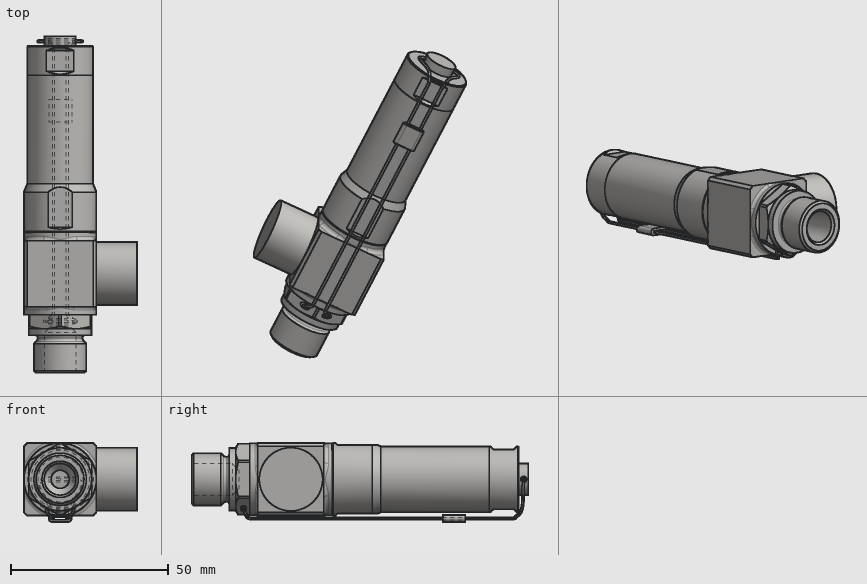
import cadquery as cq
import math


FULL_TURN = 360
VALVE_AXIS = ((0, 0, 0), (0, 1, 0))

block_width = 23.0
block_corner_chamfer = 1.1
block_square_length = 20.9
block_bottom = -13.1
block_top = 13.0
collar_setback = 0.05
collar_radius = block_width / 2 - collar_setback
bottom_collar_fillet = 1.0
top_collar_fillet = 1.4
outlet_radius = 10.0
outlet_end_x = 24.4

inlet_end = -31.5
thread_radius = 8.3
thread_tip_radius = 7.6
thread_tip_length = 0.6
hex_across_flats = 20.0
flange_radius = hex_across_flats / 2
flange_bottom = -19.6
hex_bottom = -17.5
hex_corner_radius = 11.3
hex_chamfer_angle = 30
relief_radius = 7.1
relief_flange_fillet = 0.5
relief_flat_length = 0.3
relief_thread_fillet = 1.3
bore_radius = 5.0
bore_chamfer = 0.7
bore_depth = 12.8
bore_floor_radius = 2.9

bonnet_radius = 11.5
spigot_radius = 9.3
spigot_length = 0.3
bonnet_bottom = block_top + spigot_length
cone_start = 25.8
tube_start = 28.5
tube_radius = 10.5
tube_end = 62.8
bonnet_flat_height = 10.9
bonnet_flat_start = 14.7

cap_end = 72.2
cap_chamfer = 0.3
cap_flat_height = 9.5
cap_flat_start = 64.1
cap_flat_end = 70.6

screw_end = 75.2
screw_radius = 5.0

wire_radius = 0.37
wire_hole_radius = 0.9
wire_spacing = 4.4
screw_hole_y = (cap_end + screw_end) / 2
hex_hole_y = -15.0
hex_hole_z = -9.3
sleeve_start = 48.1
sleeve_length = 7.1
sleeve_width = 7.3
sleeve_thickness = 2.2
sleeve_bottom = -13.5
wire_level = sleeve_bottom + sleeve_thickness / 2

wire_past_cap = [
    (6.7, 73.6, -1.1),
    (5.1, 73.5, -5.3),
    (3.2, 73.1, -9.6),
    (2.8, 72.3, -11.0),
    (2.3, 71.2, -12.0),
]
wire_run_start = 69.1
wire_run_end = -12.3
wire_to_hex = [
    (3.4, -14.1, -11.5),
    (4.3, hex_hole_y, -9.6),
]


def cylinder(radius, start, end):
    """Cylinder on the valve axis between two Y stations."""
    return cq.Workplane("XZ", origin=(0, start, 0)).circle(radius).extrude(start - end)


def cross_hole(y, z):
    """Cutter for a wire hole parallel to X through the whole width."""
    hole = cq.Workplane("YZ", origin=(-block_width / 2, 0, 0)).center(y, z)
    return hole.circle(wire_hole_radius).extrude(block_width)


def flat_cutters(flat_height, outer_radius, start, end):
    """Cutters for two wrench flats, at +Z and -Z, whose ends rise outward at 45 degrees."""
    rise = 2 * (outer_radius - flat_height)
    upper = (
        cq.Workplane("YZ", origin=(-outer_radius, 0, 0))
        .moveTo(start, flat_height)
        .lineTo(end, flat_height)
        .lineTo(end + rise, flat_height + rise)
        .lineTo(start - rise, flat_height + rise)
        .close()
        .extrude(2 * outer_radius)
    )
    return upper.union(upper.mirror("XY"))


def make_block():
    """Square block with a filleted round collar at each end and a cylindrical side outlet."""
    half_length = block_square_length / 2
    square = cq.Workplane("XY").box(block_width, block_square_length, block_width)
    square = square.edges("|Y").chamfer(block_corner_chamfer)

    block = square.union(cylinder(collar_radius, half_length, block_top))
    block = block.union(cylinder(collar_radius, -half_length, block_bottom))
    block = block.edges("%CIRCLE").edges(">>Y[-2]").fillet(top_collar_fillet)
    block = block.edges("%CIRCLE").edges("<<Y[-2]").fillet(bottom_collar_fillet)
    outlet = cq.Workplane("YZ").circle(outlet_radius).extrude(outlet_end_x)
    return block.union(outlet)


def make_inlet():
    """Threaded inlet with a hexagon, a flange, a thread relief and a blind bore."""
    relief_start = flange_bottom - relief_flange_fillet
    relief_end = relief_start - relief_flat_length
    runout_angle = math.radians(45)
    runout_radius = relief_radius + relief_thread_fillet * (1 - math.cos(runout_angle))
    runout_end = relief_end - relief_thread_fillet * math.sin(runout_angle)
    thread_start = runout_end - (thread_radius - runout_radius)
    stem = (
        cq.Workplane("XY")
        .moveTo(0, hex_bottom)
        .lineTo(flange_radius, hex_bottom)
        .lineTo(flange_radius, flange_bottom)
        .lineTo(relief_radius + relief_flange_fillet, flange_bottom)
        .tangentArcPoint((relief_radius, relief_start), relative=False)
        .lineTo(relief_radius, relief_end)
        .tangentArcPoint((runout_radius, runout_end), relative=False)
        .lineTo(thread_radius, thread_start)
        .lineTo(thread_radius, inlet_end + thread_tip_length)
        .lineTo(thread_tip_radius, inlet_end)
        .lineTo(0, inlet_end)
        .close()
        .revolve(FULL_TURN, *VALVE_AXIS)
    )

    hexagon = (
        cq.Workplane("XZ", origin=(0, block_bottom, 0))
        .transformed(rotate=(0, 0, 90))
        .polygon(6, hex_across_flats / math.cos(math.pi / 6))
        .extrude(block_bottom - hex_bottom)
    )
    chamfer_length = (hex_corner_radius - flange_radius) * math.tan(math.radians(hex_chamfer_angle))
    turned = (
        cq.Workplane("XY")
        .moveTo(0, block_bottom)
        .lineTo(hex_corner_radius, block_bottom)
        .lineTo(hex_corner_radius, hex_bottom + chamfer_length)
        .lineTo(flange_radius, hex_bottom)
        .lineTo(0, hex_bottom)
        .close()
        .revolve(FULL_TURN, *VALVE_AXIS)
    )

    bore_end = inlet_end + bore_depth
    bore_floor = bore_end + bore_radius - bore_floor_radius
    bore = (
        cq.Workplane("XY")
        .moveTo(0, inlet_end)
        .lineTo(bore_radius + bore_chamfer, inlet_end)
        .lineTo(bore_radius, inlet_end + bore_chamfer)
        .lineTo(bore_radius, bore_end)
        .lineTo(bore_floor_radius, bore_floor)
        .lineTo(0, bore_floor)
        .close()
        .revolve(FULL_TURN, *VALVE_AXIS)
    )
    inlet = stem.union(hexagon.intersect(turned))
    return inlet.cut(bore).cut(cross_hole(hex_hole_y, hex_hole_z))


def make_bonnet():
    """Spring housing: a short spigot, a wide base with two flats, a cone and a tube."""
    body = (
        cq.Workplane("XY")
        .moveTo(0, block_top)
        .lineTo(spigot_radius, block_top)
        .lineTo(spigot_radius, bonnet_bottom)
        .lineTo(bonnet_radius, bonnet_bottom)
        .lineTo(bonnet_radius, cone_start)
        .lineTo(tube_radius, tube_start)
        .lineTo(tube_radius, tube_end)
        .lineTo(0, tube_end)
        .close()
        .revolve(FULL_TURN, *VALVE_AXIS)
    )
    return body.cut(flat_cutters(bonnet_flat_height, bonnet_radius, bonnet_flat_start, tube_end))


def make_cap():
    """Round cap with two wrench flats."""
    cap = cylinder(tube_radius, tube_end, cap_end).faces(">Y").chamfer(cap_chamfer)
    return cap.cut(flat_cutters(cap_flat_height, tube_radius, cap_flat_start, cap_flat_end))


def make_screw():
    """End of the adjusting screw, drilled across for the seal wire."""
    return cylinder(screw_radius, cap_end, screw_end).cut(cross_hole(screw_hole_y, 0))


def make_wire():
    """Closed wire loop through the screw and the hexagon; built as one half and mirrored in X."""
    strand_x = wire_spacing / 2
    screw_middle = cq.Vector(0, screw_hole_y, 0)
    screw_exit = cq.Vector(screw_radius, screw_hole_y, 0)
    run_start = cq.Vector(strand_x, wire_run_start, wire_level)
    run_end = cq.Vector(strand_x, wire_run_end, wire_level)
    hex_middle = cq.Vector(0, hex_hole_y, hex_hole_z)
    outward = cq.Vector(1, 0, 0)
    inward = cq.Vector(-1, 0, 0)
    along_run = cq.Vector(0, -1, 0)

    top_points = [screw_middle, screw_exit, *[cq.Vector(*point) for point in wire_past_cap], run_start]
    hex_points = [run_end, *[cq.Vector(*point) for point in wire_to_hex], hex_middle]
    top_curve = cq.Edge.makeSpline(top_points, tangents=[outward, along_run])
    run = cq.Edge.makeLine(run_start, run_end)
    hex_curve = cq.Edge.makeSpline(hex_points, tangents=[along_run, inward])
    path = cq.Wire.assembleEdges([top_curve, run, hex_curve])
    section = cq.Workplane("YZ", origin=screw_middle.toTuple()).circle(wire_radius)
    half = section.sweep(cq.Workplane(path))
    return half.union(half.mirror("YZ"))


def make_sleeve():
    """Flat crimp sleeve with a slot that just holds the two strands of wire."""
    section = cq.Workplane("XZ", origin=(0, sleeve_start, wire_level))
    outer = section.slot2D(sleeve_width, sleeve_thickness).extrude(-sleeve_length)
    slot = section.slot2D(wire_spacing + 2 * wire_radius, 2 * wire_radius).extrude(-sleeve_length)
    return outer.cut(slot)


block = make_block()
inlet = make_inlet()
bonnet = make_bonnet()
cap = make_cap()
screw = make_screw()
wire = make_wire()
sleeve = make_sleeve()

bodies = [block, inlet, bonnet, cap, screw, wire, sleeve]
result = cq.Compound.makeCompound([body.solids().val() for body in bodies])